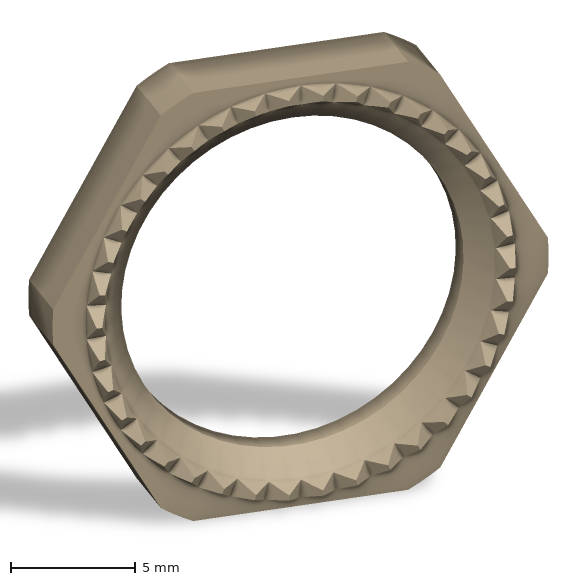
import cadquery as cq
import math

across_flats = 19.0
corner_diameter = 21.1
body_thickness = 3.0

bore_radius = 7.28
bore_chamfer = 1.01
chamfer_radius = bore_radius + bore_chamfer

overall_thickness = 3.7
tooth_count = 38
tooth_ring_radius = 9.13
tooth_outer_taper = 0.23
tooth_inner_taper = 0.38
tooth_height = overall_thickness - body_thickness
half_pitch = 180.0 / tooth_count


def hexagon_body():
    """Hexagonal plate with its corners rounded off by the corner diameter."""
    point_diameter = across_flats / math.cos(math.radians(30))
    hexagon = cq.Workplane("YZ").polygon(6, point_diameter).extrude(body_thickness)
    corner_round = cq.Workplane("YZ").circle(corner_diameter / 2).extrude(body_thickness)
    return hexagon.intersect(corner_round)


def bore():
    """Material removed by the chamfered bore, revolved about X."""
    profile = [
        (0, 0),
        (0, chamfer_radius),
        (bore_chamfer, bore_radius),
        (body_thickness - bore_chamfer, bore_radius),
        (body_thickness, chamfer_radius),
        (body_thickness, 0),
    ]
    return cq.Workplane("XZ").polyline(profile).close().revolve(360, (0, 0), (1, 0))


def tooth_ring_blank():
    """Ring with tapered sides, before the grooves between the teeth are cut."""
    profile = [
        (body_thickness, chamfer_radius),
        (body_thickness, tooth_ring_radius),
        (overall_thickness, tooth_ring_radius - tooth_outer_taper),
        (overall_thickness, chamfer_radius + tooth_inner_taper),
    ]
    return cq.Workplane("XZ").polyline(profile).close().revolve(360, (0, 0), (1, 0))


def groove_cutter():
    """V prism along +Y whose floor drops from the crest level on the axis to the tooth root."""
    floor_slope = math.atan2(tooth_height, tooth_ring_radius)
    flank_ratio = math.tan(math.radians(half_pitch)) / math.sin(floor_slope)
    cutter_height = 2 * tooth_height
    half_width = cutter_height * flank_ratio
    floor_plane = cq.Plane(
        origin=(overall_thickness, 0, 0),
        xDir=(0, 0, 1),
        normal=(-math.sin(floor_slope), math.cos(floor_slope), 0),
    )
    section = [(0, 0), (half_width, cutter_height), (-half_width, cutter_height)]
    return cq.Workplane(floor_plane).polyline(section).close().extrude(corner_diameter / 2)


def toothed_ring():
    """Locking teeth with one crest pointing along +Y and grooves halfway between crests."""
    ring = tooth_ring_blank()
    cutter = groove_cutter()
    for index in range(tooth_count):
        angle = (2 * index + 1) * half_pitch
        ring = ring.cut(cutter.rotate((0, 0, 0), (1, 0, 0), angle))
    return ring


result = hexagon_body().cut(bore()).union(toothed_ring())